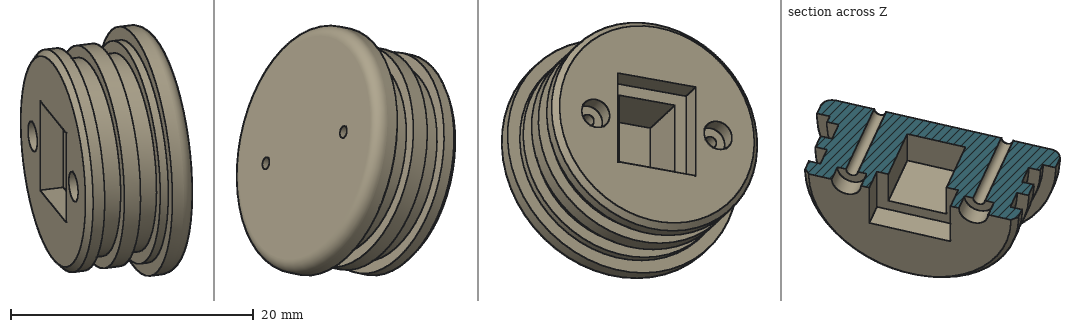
import cadquery as cq

length = 9.0
flange_diameter = 20.7
flange_thickness = 2.0
flange_fillet = 1.0
body_diameter = 18.5
front_chamfer = 0.5

groove_diameter = 16.5
groove_width = 1.7
front_land = 1.5
middle_land = 1.4
groove_starts = (front_land, front_land + groove_width + middle_land)

ledge_width = 1.0
pocket_width = 7.0
pocket_height = 8.0
pocket_depth = 2.0
inner_width = pocket_width - 2 * ledge_width
inner_height = pocket_height - 2 * ledge_width
inner_pocket_depth = length - flange_thickness

hole_spacing = 11.0
hole_diameter = 1.0
counterbore_diameter = 2.5
counterbore_depth = 1.5


def cylinder(diameter, start, depth, x=0.0):
    """Cylinder along +Y, from y = start, centred on x."""
    axis_start = cq.Vector(x, start, 0)
    return cq.Workplane(cq.Solid.makeCylinder(diameter / 2, depth, axis_start, cq.Vector(0, 1, 0)))


def make_body():
    barrel = cylinder(body_diameter, 0, length).faces("<Y").chamfer(front_chamfer)
    flange = cylinder(flange_diameter, length - flange_thickness, flange_thickness)
    return barrel.union(flange.faces(">Y").edges().fillet(flange_fillet))


def make_groove(start):
    """Ring that cuts the barrel down to the groove diameter."""
    outer = cylinder(flange_diameter, start, groove_width)
    return outer.cut(cylinder(groove_diameter, start, groove_width))


def make_pocket(width, height, depth):
    """Rectangular block reaching from the front face to the given depth."""
    return cq.Workplane("XY").box(width, depth, height, centered=(True, False, True))


def make_stepped_hole(x):
    through_hole = cylinder(hole_diameter, 0, length, x)
    return through_hole.union(cylinder(counterbore_diameter, 0, counterbore_depth, x))


result = make_body()
for groove_start in groove_starts:
    result = result.cut(make_groove(groove_start))
result = result.cut(make_pocket(pocket_width, pocket_height, pocket_depth))
result = result.cut(make_pocket(inner_width, inner_height, inner_pocket_depth))
for side in (-1, 1):
    result = result.cut(make_stepped_hole(side * hole_spacing / 2))